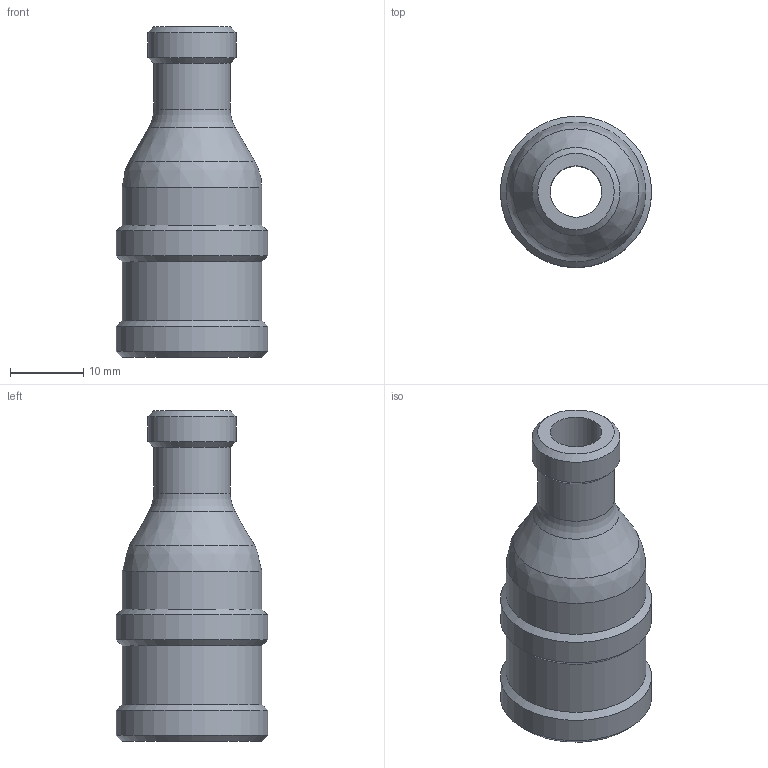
import cadquery as cq
import math

total_height = 45.0
bore_radius = 3.5
body_radius = 9.5
neck_radius = 5.2

band_width = 5.0
band_height = 0.8
band_chamfer = band_height
body_band_bottoms = (0.0, 13.0)
neck_band_bottom = total_height - band_width

cone_angle = math.radians(30.0)
body_arc_radius = 7.0
neck_arc_radius = 5.0
shoulder_corner_z = 25.0
shoulder_bottom = shoulder_corner_z - body_arc_radius * math.tan(cone_angle / 2)


def bottle_core():
    """Solid of revolution for the body, the curved shoulder and the neck."""
    sine, cosine = math.sin(cone_angle), math.cos(cone_angle)
    half_sine, half_cosine = math.sin(cone_angle / 2), math.cos(cone_angle / 2)

    body_arc_center = body_radius - body_arc_radius
    cone_bottom = (
        body_arc_center + body_arc_radius * cosine,
        shoulder_bottom + body_arc_radius * sine,
    )
    body_arc_middle = (
        body_arc_center + body_arc_radius * half_cosine,
        shoulder_bottom + body_arc_radius * half_sine,
    )

    neck_arc_center = neck_radius + neck_arc_radius
    cone_top_radius = neck_arc_center - neck_arc_radius * cosine
    cone_top_z = cone_bottom[1] + (cone_bottom[0] - cone_top_radius) / math.tan(cone_angle)
    shoulder_top = cone_top_z + neck_arc_radius * sine
    neck_arc_middle = (
        neck_arc_center - neck_arc_radius * half_cosine,
        shoulder_top - neck_arc_radius * half_sine,
    )

    return (
        cq.Workplane("XZ")
        .lineTo(body_radius, 0)
        .lineTo(body_radius, shoulder_bottom)
        .threePointArc(body_arc_middle, cone_bottom)
        .lineTo(cone_top_radius, cone_top_z)
        .threePointArc(neck_arc_middle, (neck_radius, shoulder_top))
        .lineTo(neck_radius, total_height)
        .lineTo(0, total_height)
        .close()
        .revolve(360, (0, 0, 0), (0, 1, 0))
    )


def band(bottom, core_radius):
    """Raised ring around a core, chamfered along both outer edges."""
    return (
        cq.Workplane("XY")
        .workplane(offset=bottom)
        .circle(core_radius + band_height)
        .extrude(band_width)
        .edges("%CIRCLE")
        .chamfer(band_chamfer)
    )


result = bottle_core()
for band_bottom in body_band_bottoms:
    result = result.union(band(band_bottom, body_radius))
result = result.union(band(neck_band_bottom, neck_radius))

bore = cq.Workplane("XY").circle(bore_radius).extrude(total_height)
result = result.cut(bore)